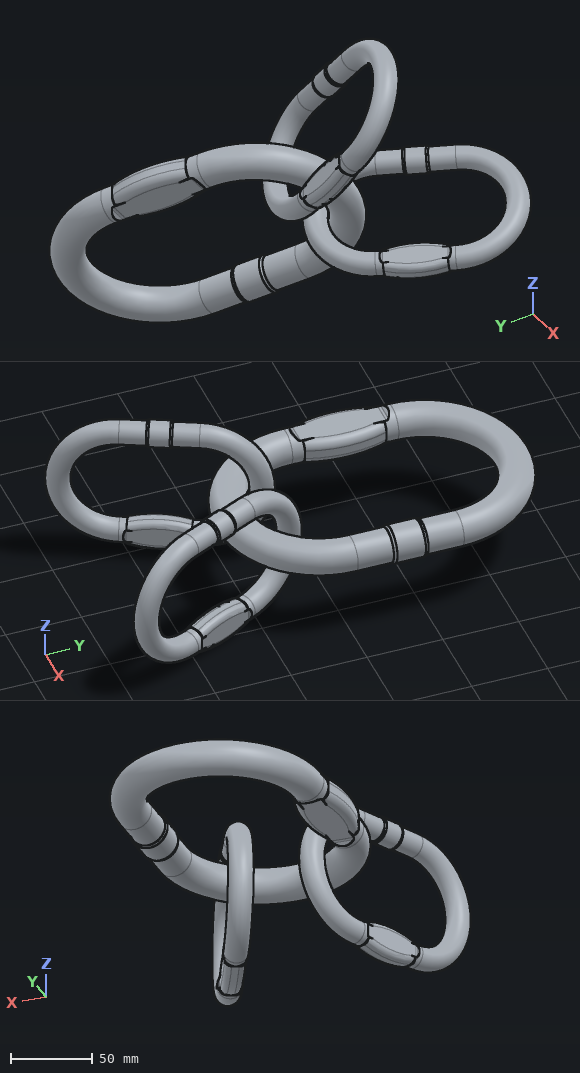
import cadquery as cq
import math

MASTER = dict(
    rod_diameter=23.0,
    bend_radius=56.5,
    straight_length=70.0,
    weld_diameter=24.8,
    weld_length=18.8,
    weld_taper=2.0,
    plate_length=53.7,
    plate_width=32.0,
    plate_thickness=17.3,
    plate_fillet=5.8,
    flat_length=58.3,
    flat_fillet=2.3,
)

SUB = dict(
    rod_diameter=16.0,
    bend_radius=38.0,
    straight_length=50.0,
    weld_diameter=17.3,
    weld_length=13.3,
    weld_taper=1.5,
    plate_length=40.5,
    plate_width=22.0,
    plate_thickness=13.3,
    plate_fillet=4.3,
    flat_length=42.0,
    flat_fillet=1.5,
)
SUB_SPREAD_ANGLE = 25.0
SUB_CENTRE_X = 50.0
SUB_CENTRE_Z = 1.2
OVERALL_LENGTH = 288.8


def centreline_half_length(size):
    """Distance from a link's centre to its rod centreline at either end of the long axis."""
    return size["straight_length"] / 2 + size["bend_radius"]


def sub_centre_y():
    """Y of the sub link centres that gives the assembly its overall length."""
    master_end = centreline_half_length(MASTER) + MASTER["rod_diameter"] / 2
    sub_reach = centreline_half_length(SUB) * math.cos(math.radians(SUB_SPREAD_ANGLE))
    return master_end - OVERALL_LENGTH + sub_reach + SUB["rod_diameter"] / 2


def rod_ring(size):
    """Round rod swept along a stadium: straights along Y, half-round ends at +Y and -Y."""
    radius = size["bend_radius"]
    half_straight = size["straight_length"] / 2
    centreline = (
        cq.Workplane("XY")
        .moveTo(radius, -half_straight)
        .lineTo(radius, half_straight)
        .threePointArc((0, half_straight + radius), (-radius, half_straight))
        .lineTo(-radius, -half_straight)
        .threePointArc((0, -half_straight - radius), (radius, -half_straight))
        .close()
    )
    return (
        cq.Workplane("XZ", origin=(radius, -half_straight, 0))
        .circle(size["rod_diameter"] / 2)
        .sweep(centreline)
    )


def weld_collar(size):
    """Raised collar with coned sides around the middle of the +X straight."""
    rod_radius = size["rod_diameter"] / 2
    weld_radius = size["weld_diameter"] / 2
    half_top = size["weld_length"] / 2
    half_base = half_top + size["weld_taper"]
    return (
        cq.Workplane("XY", origin=(size["bend_radius"], 0, 0))
        .moveTo(0, -half_base)
        .lineTo(rod_radius, -half_base)
        .lineTo(weld_radius, -half_top)
        .lineTo(weld_radius, half_top)
        .lineTo(rod_radius, half_base)
        .lineTo(0, half_base)
        .close()
        .revolve(360, (0, 0, 0), (0, 1, 0))
    )


def rod_flat_cutter(size, side):
    """Cutter for a flat with 45 degree ends in the -X straight; side is +1 for +Z, -1 for -Z."""
    rod_diameter = size["rod_diameter"]
    floor = size["plate_thickness"] / 2
    half_floor = size["flat_length"] / 2
    rise = rod_diameter / 2
    top = floor + rise
    half_top = half_floor + rise
    return (
        cq.Workplane("YZ", origin=(-size["bend_radius"], 0, 0))
        .polyline([
            (-half_floor, side * floor),
            (half_floor, side * floor),
            (half_top, side * top),
            (-half_top, side * top),
        ])
        .close()
        .extrude(rod_diameter / 2, both=True)
        .faces("<Z" if side > 0 else ">Z")
        .edges("|X")
        .fillet(size["flat_fillet"])
    )


def marking_plate(size):
    """Flat lens-shaped plate with rounded long edges on the -X straight, widest at its middle."""
    half_length = size["plate_length"] / 2
    half_width = size["plate_width"] / 2
    half_end_width = size["rod_diameter"] / 2
    return (
        cq.Workplane("XY", origin=(-size["bend_radius"], 0, 0))
        .moveTo(half_end_width, -half_length)
        .threePointArc((half_width, 0), (half_end_width, half_length))
        .lineTo(-half_end_width, half_length)
        .threePointArc((-half_width, 0), (-half_end_width, -half_length))
        .close()
        .extrude(size["plate_thickness"] / 2, both=True)
        .edges("%CIRCLE")
        .fillet(size["plate_fillet"])
    )


def chain_link(size):
    """Complete link in the XY plane, long axis along Y: plate at -X, weld at +X."""
    ring = rod_ring(size)
    for side in (1, -1):
        ring = ring.cut(rod_flat_cutter(size, side))
    return ring.union(marking_plate(size)).union(weld_collar(size)).solids()


def sub_link(side):
    """Sub link stood upright with its weld on top; side is +1 for the +X link, -1 for the -X link."""
    return (
        chain_link(SUB)
        .rotate((0, 0, 0), (0, 1, 0), -90)
        .rotate((0, 0, 0), (0, 0, 1), side * SUB_SPREAD_ANGLE)
        .translate((side * SUB_CENTRE_X, sub_centre_y(), SUB_CENTRE_Z))
    )


master_link = chain_link(MASTER)
sub_links = [sub_link(side) for side in (-1, 1)]

result = cq.Compound.makeCompound([master_link.val(), *[link.val() for link in sub_links]])